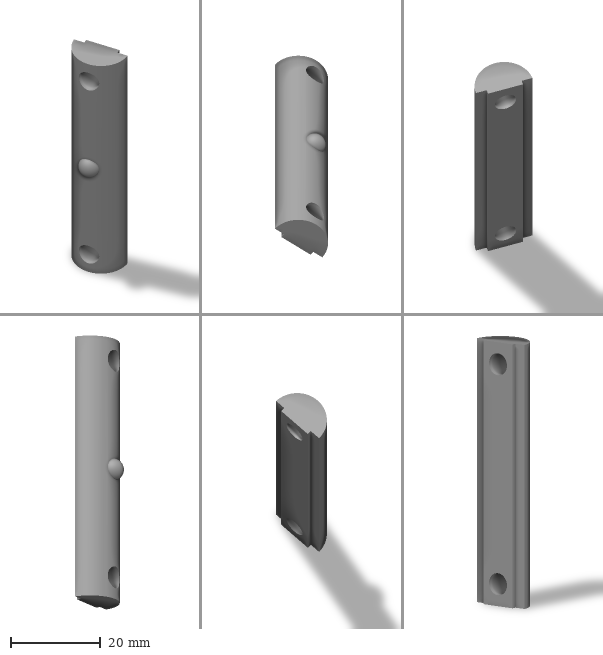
import cadquery as cq

LENGTH = 60.0
BAR_WIDTH = 13.28
TONGUE_WIDTH = 8.2
TONGUE_HEIGHT = 1.0
BAR_DEPTH = 7.5
HOLE_DIAMETER = 5.0
HOLE_END_DISTANCE = 5.0
BALL_RADIUS = 2.5
BALL_PROTRUSION = 1.8

CREST_Y = TONGUE_HEIGHT - BAR_DEPTH
HOLE_OFFSET = LENGTH / 2 - HOLE_END_DISTANCE
BALL_CENTRE_Y = CREST_Y - BALL_PROTRUSION + BALL_RADIUS


def make_bar():
    """Half-round bar with a tongue; its flat back lies on Y = 0."""
    half_width = BAR_WIDTH / 2
    half_tongue = TONGUE_WIDTH / 2
    profile = (
        cq.Workplane("XY")
        .workplane(offset=-LENGTH / 2)
        .moveTo(-half_width, 0)
        .threePointArc((0, CREST_Y), (half_width, 0))
        .lineTo(half_tongue, 0)
        .lineTo(half_tongue, TONGUE_HEIGHT)
        .lineTo(-half_tongue, TONGUE_HEIGHT)
        .lineTo(-half_tongue, 0)
        .close()
    )
    return profile.extrude(LENGTH)


def make_holes():
    """Two cutters along Y that pass through the full depth near the ends."""
    return (
        cq.Workplane("XZ")
        .pushPoints([(0, -HOLE_OFFSET), (0, HOLE_OFFSET)])
        .circle(HOLE_DIAMETER / 2)
        .extrude(BAR_DEPTH, both=True)
    )


def make_ball():
    """Detent ball partly sunk in the rounded front at mid-length."""
    return cq.Workplane("XY").sphere(BALL_RADIUS).translate((0, BALL_CENTRE_Y, 0))


result = make_bar().cut(make_holes()).union(make_ball())